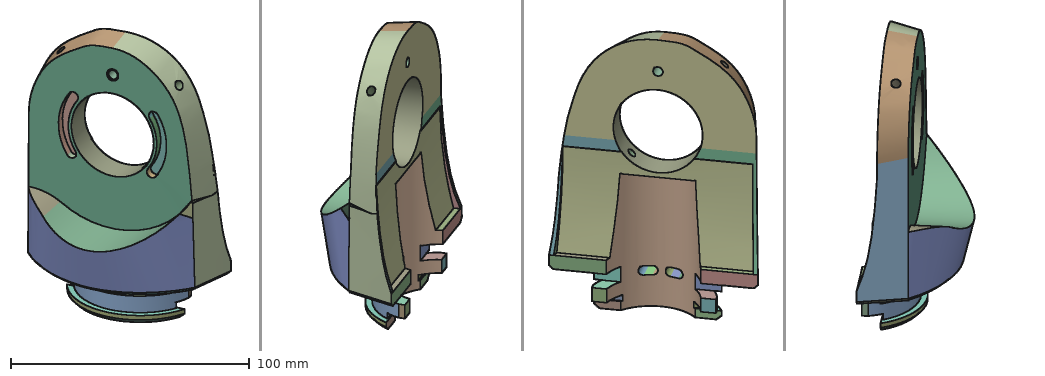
import cadquery as cq
import math


total_height = 127.1
plate_front = -12.8
rim_back = 8.4
base_z = 20.2
rim_top_z = 26.7
base_chamfer = 1.8
slope_start_z = 78.8
back_slope = [(0.9, 65.1), (2.9, 46.9), (5.3, 35.5)]
far = 152.5

bore_z = 84.8
bore_diameter = 38.3
shoulder_radius = 43.5
shoulder_end_angle = 236.0
shoulder_roll = (-30.5, 51.5)
shelf_half_width = 40.0
shelf_z = 52.6
slot_radius = 22.9
slot_width = 4.6
slot_depth = 3.8
slot_half_angle = 35.0
slot_tilt = -2.0
pin_z = 112.5
pin_diameter = 4.2
pin_mouth_diameter = 5.2
pin_mouth_depth = 0.5
screw_diameter = 4.0
screw_y = -6.5
left_screw_angle = 131.4
right_screw_angle = 43.1
screw_reach = 57.2
left_screw_length = 89.0
right_screw_length = 50.8

nose_bottom_y = -31.8
nose_lean = 0.235
nose_top_z = 62.0
nose_left_fullness = 0.66
nose_right_fullness = 0.61
nose_left_drop = 0.6
nose_right_bottom_drop = 0.66
nose_right_top_drop = 0.59

neck_axis_y = 13.6
neck_radius = 30.6
groove_radius = 27.8
channel_radius = 21.0
channel_top_z = 63.5
lip_height = 4.2
lip_chamfer = 2.2
collar_z = 13.2
tab_bottom_z = 6.9
tab_back = 8.0
tab_half_width = 26.6
groove_back = -0.8
window_length = 7.9
window_height = 4.3
window_x = 5.6
window_z = 16.7

recess_wall = 2.0
recess_floor_y = 5.6
recess_top_z = 73.7
recess_middle = (2.0, 45.8)

crown_front_z = 125.0
left_arc_steps = 4


def left_outline(base_x, half_width, arc_z, crown_z):
    """Straight wall from the base, then a quarter ellipse up to the crown."""
    angles = [math.pi / 2 * step / left_arc_steps for step in range(left_arc_steps + 1)]
    arc = [(-half_width * math.cos(a), arc_z + (crown_z - arc_z) * math.sin(a)) for a in angles]
    return [(base_x, base_z)] + arc


left_back = left_outline(-42.7, 42.3, 85.2, total_height)
left_front = left_outline(-39.4, 39.0, 87.1, crown_front_z)
right_back = [
    (42.3, base_z), (41.7, 62.5), (39.5, 83.6), (37.0, 94.2),
    (32.8, 106.1), (20.3, 121.4), (10.8, 125.8), (0, total_height),
]
right_front = [
    (38.4, base_z), (37.1, 61.8), (35.1, 81.7), (32.9, 94.0),
    (28.7, 105.9), (16.5, 119.5), (8.3, 123.7), (0, crown_front_z),
]


def extend(back, front, y):
    """Continue the straight draft from the front face through the back to depth y."""
    share = y / -plate_front
    return [(b[0] + share * (b[0] - f[0]), b[1] + share * (b[1] - f[1])) for b, f in zip(back, front)]


def outline_edges(left, right, y):
    left = [cq.Vector(x, y, max(z, base_z)) for x, z in left]
    right = [cq.Vector(x, y, max(z, base_z)) for x, z in right]
    crown = cq.Vector(1, 0, 0)
    up = cq.Vector(0, 0, 1)
    left_curve = cq.Edge.makeSpline(left[1:], tangents=[up, crown])
    right_curve = cq.Edge.makeSpline(right[::-1], tangents=[crown, right[0] - right[1]])
    return [
        cq.Edge.makeLine(left[0], left[1]),
        left_curve,
        right_curve,
        cq.Edge.makeLine(right[0], left[0]),
    ]


def back_profile():
    """Space behind the curved back of the plate, as a YZ outline swept across X."""
    return (
        cq.Workplane("YZ")
        .moveTo(0, far)
        .lineTo(0, slope_start_z)
        .spline(back_slope + [(rim_back, rim_top_z)], includeCurrent=True)
        .lineTo(far, rim_top_z)
        .lineTo(far, far)
        .close()
        .extrude(far, both=True)
    )


def make_plate():
    front = outline_edges(left_front, right_front, plate_front)
    rim_left = extend(left_back, left_front, rim_back)
    rim_right = extend(right_back, right_front, rim_back)
    rim = outline_edges(rim_left, rim_right, rim_back)
    ends = [cq.Face.makeFromWires(cq.Wire.assembleEdges(edges)) for edges in (front, rim)]
    sides = [cq.Face.makeRuledSurface(a, b) for a, b in zip(front, rim)]
    solid = cq.Solid.makeSolid(cq.Shell.makeShell(ends + sides)).fix()
    return cq.Workplane(obj=solid)


def nose_section(z, left_x, right_x, right_drop):
    tip_y = nose_bottom_y - nose_lean * (z - base_z)
    left_y = plate_front + nose_left_drop * (tip_y - plate_front)
    right_y = plate_front + right_drop * (tip_y - plate_front)
    left_side = (nose_left_fullness * left_x, left_y)
    right_side = (nose_right_fullness * right_x, right_y)
    return (
        cq.Workplane("XY", origin=(0, 0, z))
        .moveTo(left_x, plate_front)
        .spline([left_side, (0, tip_y), right_side, (right_x, plate_front)], includeCurrent=True)
        .close()
        .wires()
        .val()
    )


def make_nose():
    bottom = nose_section(base_z, left_front[0][0], right_front[0][0], nose_right_bottom_drop)
    top = nose_section(nose_top_z, left_front[1][0], right_front[1][0], nose_right_top_drop)
    nose = cq.Workplane(obj=cq.Solid.makeLoft([bottom, top], True))
    angle = math.radians(shoulder_end_angle)
    join = (shoulder_radius * math.cos(angle), bore_z + shoulder_radius * math.sin(angle))
    right_end = (shoulder_radius, bore_z)
    lowest = (0, bore_z - shoulder_radius)
    above_shoulder = (
        cq.Workplane("XZ", origin=(0, plate_front, 0))
        .moveTo(*right_end)
        .threePointArc(lowest, join)
        .threePointArc(shoulder_roll, (-shelf_half_width, shelf_z))
        .lineTo(-far, shelf_z)
        .lineTo(-far, far)
        .lineTo(shoulder_radius, far)
        .close()
        .extrude(far)
    )
    return nose.cut(above_shoulder)


def make_disc(radius, bottom, top, back_y, bottom_chamfer=0):
    """Part of a neck disc in front of back_y."""
    disc = cq.Workplane("XY", origin=(0, neck_axis_y, bottom)).circle(radius).extrude(top - bottom)
    if bottom_chamfer:
        disc = disc.faces("<Z").chamfer(bottom_chamfer)
    keep = cq.Workplane("XY").box(far, far, far).translate((0, back_y - far / 2, 0))
    return disc.intersect(keep)


def make_neck():
    lip = make_disc(neck_radius, 0, lip_height, 0, lip_chamfer)
    groove = make_disc(groove_radius, lip_height, tab_bottom_z, groove_back)
    tab = make_disc(groove_radius, tab_bottom_z, collar_z, tab_back)
    tab = tab.intersect(cq.Workplane("XY").box(2 * tab_half_width, far, far))
    collar = make_disc(neck_radius, collar_z, base_z, 0)
    return lip.union(groove).union(tab).union(collar)


def cut_slots(body):
    for middle in (slot_tilt, 180 + slot_tilt):
        ends = [math.radians(middle + side * slot_half_angle) for side in (-1, 1)]
        inner = slot_radius - slot_width / 2
        outer = slot_radius + slot_width / 2

        def point(radius, angle):
            return (radius * math.cos(angle), radius * math.sin(angle))

        centre = math.radians(middle)
        cap = slot_width / 2 / slot_radius
        slot = (
            cq.Workplane("XZ", origin=(0, plate_front + slot_depth, bore_z))
            .moveTo(*point(inner, ends[0]))
            .threePointArc(point(inner, centre), point(inner, ends[1]))
            .threePointArc(point(slot_radius, ends[1] + cap), point(outer, ends[1]))
            .threePointArc(point(outer, centre), point(outer, ends[0]))
            .threePointArc(point(slot_radius, ends[0] - cap), point(inner, ends[0]))
            .close()
            .extrude(slot_depth)
        )
        body = body.cut(slot)
    return body


def cut_round_y(body, z, diameter, start_y, depth):
    hole = cq.Workplane("XZ", origin=(0, start_y, z)).circle(diameter / 2).extrude(-depth)
    return body.cut(hole)


def cut_screw(body, angle, length):
    direction = cq.Vector(math.cos(math.radians(angle)), 0, math.sin(math.radians(angle)))
    start = cq.Vector(0, screw_y, bore_z) + direction * screw_reach
    return body.cut(cq.Workplane(obj=cq.Solid.makeCylinder(screw_diameter / 2, length, start, -direction)))


def make_recess():
    """Hollow that follows the sloping back and leaves a wall along both sides."""
    profile = (
        cq.Workplane("YZ")
        .moveTo(recess_floor_y, rim_top_z)
        .threePointArc(recess_middle, (0, recess_top_z))
        .lineTo(far, recess_top_z)
        .lineTo(far, rim_top_z)
        .close()
        .extrude(far, both=True)
    )
    front_x = -left_back[0][0] - recess_wall
    back_x = -extend(left_back, left_front, rim_back)[0][0] - recess_wall
    plan = (
        cq.Workplane("XY")
        .polyline([(-front_x, 0), (front_x, 0), (back_x, rim_back), (-back_x, rim_back)])
        .close()
        .extrude(total_height)
    )
    return profile.intersect(plan)


def chamfer_base_sides(solid):
    """Bevel the bottom edges except those running straight across X."""
    return solid.faces("<Z").edges("not(|X)").chamfer(base_chamfer)


shell = chamfer_base_sides(make_plate()).union(chamfer_base_sides(make_nose()))
body = shell.cut(back_profile()).union(make_neck())
body = body.cut(make_recess())

channel = cq.Workplane("XY", origin=(0, neck_axis_y, 0)).circle(channel_radius).extrude(channel_top_z)
body = body.cut(channel)

body = cut_round_y(body, bore_z, bore_diameter, -far, 2 * far)
body = cut_round_y(body, pin_z, pin_diameter, -far, 2 * far)
body = cut_round_y(body, pin_z, pin_mouth_diameter, plate_front, pin_mouth_depth)
body = cut_slots(body)
body = cut_screw(body, left_screw_angle, left_screw_length)
body = cut_screw(body, right_screw_angle, right_screw_length)

windows = (
    cq.Workplane("XZ", origin=(0, 0, window_z))
    .pushPoints([(-window_x, 0), (window_x, 0)])
    .slot2D(window_length, window_height)
    .extrude(far)
)
result = body.cut(windows)